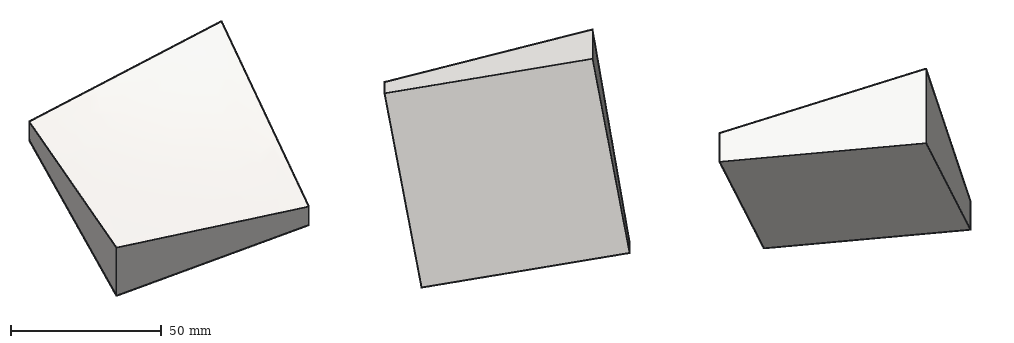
import cadquery as cq

side = 70.0
high_corner = 27.2
low_corner = 10.5
half_side = side / 2


def end_profile(left_height, right_height):
    """Corner points of an upright end face, in X and Z."""
    return [
        (-half_side, 0),
        (half_side, 0),
        (half_side, right_height),
        (-half_side, left_height),
    ]


result = (
    cq.Workplane("XZ", origin=(0, half_side, 0))
    .polyline(end_profile(high_corner, low_corner))
    .close()
    .workplane(offset=side)
    .polyline(end_profile(low_corner, high_corner))
    .close()
    .loft(ruled=True, combine=True)
)